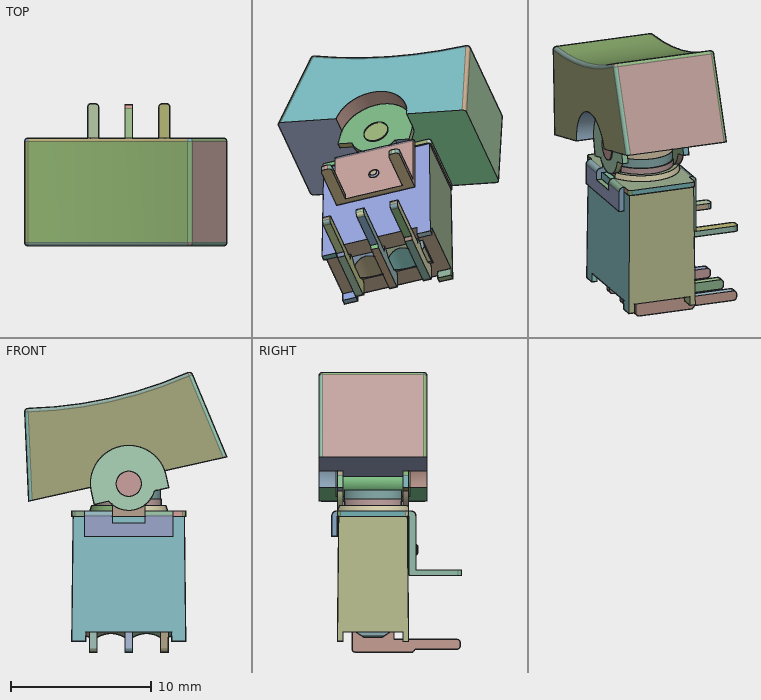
import cadquery as cq


body_top_size = (7.95, 4.91)
body_bottom_size = (8.15, 5.09)
body_bottom = 0.78
body_top = 9.7
foot_height = 0.65
body_underside = body_bottom + foot_height
foot_gap_x = 6.1
foot_gap_y = 4.27

plate_thickness = 0.38
plate_length = body_bottom_size[0]
plate_width = body_bottom_size[1]
plate_top = body_top + plate_thickness
plate_corner_radius = 0.24
bend_radius = 0.35
front_tab_thickness = 0.4
front_tab_length = 6.33
front_tab_bottom = 8.26
cone_bottom_radius = 2.77
cone_top_radius = 2.65
cone_height = 0.4
notch_width = 2.34
notch_bottom = 9.22
notch_back = -2.02
rear_leg_thickness = 0.52
lead_pitch = 2.53
bracket_lead_width = 0.8
bracket_lead_bottom = 5.47
bracket_lead_thickness = 0.42
bracket_lead_tip = 6.3
heel_radius = 0.14
bump_height_z = 7.33
bump_radius = 0.38
bump_height = 0.14
bump_chamfer = 0.12

terminal_width = 0.55
terminal_tip = 6.23
terminal_arm_bottom = 0.22
terminal_arm_top = 0.94
terminal_block_half = 1.5
terminal_step = 3.01
terminal_step_run = 0.2
terminal_radius = 0.25

seal_height = 0.38
seal_middle_depth = 0.1
seal_end_rise = 0.12
seal_top_half_width = 1.2
seal_bottom_half_width = 0.62

bushing_radius = 2.28
collar_radius = 2.34
collar_top = 10.92
bushing_top = 11.58
bushing_flat_width = -2 * notch_back
pivot_z = 12.02
pivot_radius = 0.9
pivot_proud = 0.08

tilt = 12.6
cap_width = 7.7
cap_bottom_half = 7.25
cap_top_half = 6.09
cap_bottom = 0.34
cap_top = 6.87
cap_dish = 0.62
cap_radius = 0.25
arm_outer = plate_width / 2
arm_thickness = 0.42
arm_radius = 2.73
arm_shoulder = 0.9
arm_tip_radius = 1.9


def block(x_range, y_range, z_range):
    """Axis-aligned box given by its (low, high) limits."""
    size = [high - low for low, high in (x_range, y_range, z_range)]
    corner = (x_range[0], y_range[0], z_range[0])
    return cq.Workplane("XY").box(*size, centered=False).translate(corner)


def extrude_along_y(profile, y_low, y_high):
    """Extrude an XZ-plane profile, whose normal is -Y, between two Y positions."""
    return profile.extrude(y_high - y_low).translate((0, y_high, 0))


def make_body():
    body = (
        cq.Workplane("XY").workplane(offset=body_bottom).rect(*body_bottom_size)
        .workplane(offset=body_top - body_bottom).rect(*body_top_size)
        .loft(ruled=True)
    )
    slot_height = 2 * foot_height
    for slot_size in ((foot_gap_x, plate_width * 2), (plate_length * 2, foot_gap_y)):
        slot = cq.Workplane("XY").box(*slot_size, slot_height)
        body = body.cut(slot.translate((0, 0, body_bottom)))
    return body


def make_front_tab():
    half_length = front_tab_length / 2
    front = -plate_width / 2 - front_tab_thickness
    tab = block((-half_length, half_length), (front, -plate_width / 2), (front_tab_bottom, plate_top))
    return tab.faces("<Y").edges(">Z").fillet(bend_radius)


def make_rear_leg():
    inner = plate_width / 2
    outer = inner + rear_leg_thickness
    half_length = lead_pitch + bracket_lead_width / 2
    leg = block((-half_length, half_length), (inner, outer), (bracket_lead_bottom, plate_top))
    leg = leg.faces(">Y").edges(">Z").fillet(bend_radius)
    leg = leg.faces("<Y").edges("<Z").fillet(heel_radius)
    bump = cq.Workplane("XZ").center(0, bump_height_z).circle(bump_radius)
    bump = extrude_along_y(bump, inner, outer + bump_height)
    leg = leg.union(bump.faces(">Y").chamfer(bump_chamfer))
    lead_top = bracket_lead_bottom + bracket_lead_thickness
    for x in (-lead_pitch, lead_pitch):
        sides = (x - bracket_lead_width / 2, x + bracket_lead_width / 2)
        lead = block(sides, (inner + heel_radius, bracket_lead_tip), (bracket_lead_bottom, lead_top))
        leg = leg.union(lead.faces(">Y").edges("|Z").fillet(terminal_radius))
    return leg


def make_bracket():
    plate = (
        cq.Workplane("XY").workplane(offset=body_top).rect(plate_length, plate_width)
        .extrude(plate_thickness).edges("|Z").fillet(plate_corner_radius)
    )
    cone = (
        cq.Workplane("XY").workplane(offset=plate_top).circle(cone_bottom_radius)
        .workplane(offset=cone_height).circle(cone_top_radius).loft()
    )
    cone_top = plate_top + cone_height
    cone = cone.intersect(cq.Workplane("XY").box(plate_length, plate_width, 2 * cone_top))
    bracket = plate.union(cone).union(make_front_tab()).union(make_rear_leg())
    half_notch = notch_width / 2
    notch = block((-half_notch, half_notch), (-plate_width, notch_back), (notch_bottom, cone_top))
    return bracket.cut(notch)


def make_terminal():
    """Terminal standing in the base and bent toward +Y, centred on X = 0."""
    profile = (
        cq.Workplane("YZ")
        .moveTo(-terminal_block_half, 0)
        .lineTo(terminal_step - terminal_step_run, 0)
        .lineTo(terminal_step, terminal_arm_bottom)
        .lineTo(terminal_tip, terminal_arm_bottom)
        .lineTo(terminal_tip, terminal_arm_top)
        .lineTo(terminal_block_half, terminal_arm_top)
        .lineTo(terminal_block_half, body_underside)
        .lineTo(-terminal_block_half, body_underside)
        .close().extrude(terminal_width / 2, both=True)
    )
    profile = profile.faces(">Y").edges("|X").fillet(terminal_radius)
    return profile.faces("<Y").edges("<Z").fillet(terminal_radius)


def make_seal():
    """Compound that climbs each terminal in concave arcs and slopes off at both sides."""
    half_length = foot_gap_x / 2
    half_width = terminal_width / 2
    low = body_underside - seal_height
    middle = body_underside - seal_middle_depth
    end_low = low + seal_end_rise
    profile = cq.Workplane("XZ").moveTo(-half_length, body_underside).lineTo(-half_length, end_low)
    profile = profile.lineTo(-lead_pitch - half_width, low)
    for x in (-lead_pitch, 0):
        profile = profile.lineTo(x + half_width, low).threePointArc(
            (x + lead_pitch / 2, middle), (x + lead_pitch - half_width, low)
        )
    profile = profile.lineTo(lead_pitch + half_width, low).lineTo(half_length, end_low)
    profile = profile.lineTo(half_length, body_underside).close()
    slopes = (
        cq.Workplane("YZ")
        .moveTo(-seal_top_half_width, body_underside)
        .lineTo(-seal_bottom_half_width, low)
        .lineTo(seal_bottom_half_width, low)
        .lineTo(seal_top_half_width, body_underside)
        .close().extrude(half_length, both=True)
    )
    return profile.extrude(seal_top_half_width, both=True).intersect(slopes)


def make_bushing():
    barrel = (
        cq.Workplane("XY").workplane(offset=body_top).circle(collar_radius).extrude(collar_top - body_top)
        .faces(">Z").workplane().circle(bushing_radius).extrude(bushing_top - collar_top)
    )
    barrel = barrel.intersect(cq.Workplane("XY").box(plate_length, bushing_flat_width, 2 * bushing_top))
    pin_half_length = arm_outer + pivot_proud
    pin = cq.Workplane("XZ").center(0, pivot_z).circle(pivot_radius).extrude(pin_half_length, both=True)
    return barrel.union(pin)


def make_rocker():
    """Cap and its two pivot arms, drawn level about the pivot and then tilted."""
    cap = (
        cq.Workplane("XZ")
        .moveTo(-cap_bottom_half, cap_bottom)
        .lineTo(cap_bottom_half, cap_bottom)
        .lineTo(cap_top_half, cap_top)
        .threePointArc((0, cap_top - cap_dish), (-cap_top_half, cap_top))
        .close().extrude(cap_width / 2, both=True)
    )
    cap = cap.edges("not <Z").fillet(cap_radius)
    for side in (-1, 1):
        arm_low, arm_high = sorted((side * arm_outer, side * (arm_outer - arm_thickness)))
        recess_low, recess_high = sorted((side * arm_outer, side * cap_width))
        cap = cap.cut(extrude_along_y(cq.Workplane("XZ").circle(arm_radius), recess_low, recess_high))
        arm = (
            cq.Workplane("XZ")
            .moveTo(-arm_radius, -arm_shoulder)
            .lineTo(arm_radius, -arm_shoulder)
            .lineTo(arm_radius, 0)
            .threePointArc((0, arm_radius), (-arm_radius, 0))
            .close()
        )
        tip = cq.Workplane("XZ").circle(arm_tip_radius)
        cap = cap.union(extrude_along_y(arm, arm_low, arm_high)).union(extrude_along_y(tip, arm_low, arm_high))
    return cap.rotate((0, 0, 0), (0, 1, 0), -tilt).translate((0, 0, pivot_z))


result = make_body().union(make_bracket()).union(make_seal()).union(make_bushing()).union(make_rocker())
for terminal_x in (-lead_pitch, 0, lead_pitch):
    result = result.union(make_terminal().translate((terminal_x, 0, 0)))